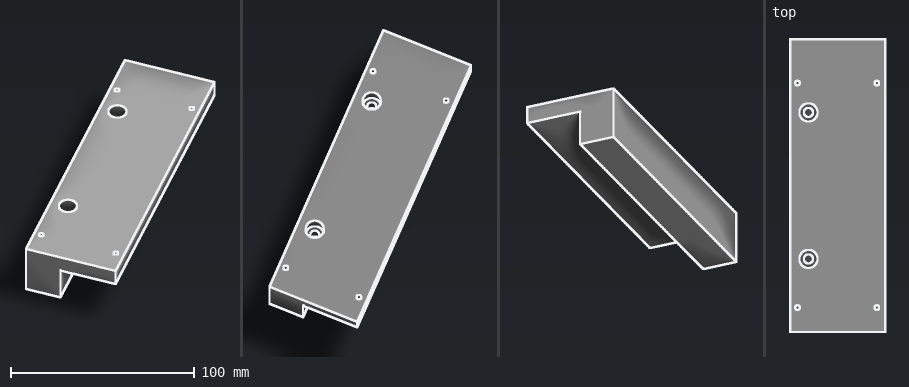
import cadquery as cq

width = 52.0
length = 160.0
height = 30.0

leg_width = 20.0
plate_thickness = 10.0

bolt_diameter = 5.0
counterbore_diameter = 10.0
counterbore_depth = 10.0
bolt_depth = 20.0
bolt_end_distance = 40.0

pin_diameter = 2.5
pin_depth = 8.0
pin_left = 4.0
pin_right = 47.4
pin_front = 13.5
pin_back = 136.0


def make_body():
    leg = cq.Workplane("XY").box(leg_width, length, height, centered=False)
    plate = (
        cq.Workplane("XY")
        .workplane(offset=height - plate_thickness)
        .box(width, length, plate_thickness, centered=False)
    )
    return leg.union(plate)


def top_plane(body):
    return body.faces(">Z").workplane(origin=(0, 0, height))


def cut_mounting_holes(body):
    centers = [
        (leg_width / 2, bolt_end_distance),
        (leg_width / 2, length - bolt_end_distance),
    ]
    return (
        top_plane(body)
        .pushPoints(centers)
        .cboreHole(bolt_diameter, counterbore_diameter, counterbore_depth, depth=bolt_depth)
    )


def cut_pin_holes(body):
    centers = [(x, y) for x in (pin_left, pin_right) for y in (pin_front, pin_back)]
    return top_plane(body).pushPoints(centers).hole(pin_diameter, pin_depth)


result = cut_pin_holes(cut_mounting_holes(make_body()))